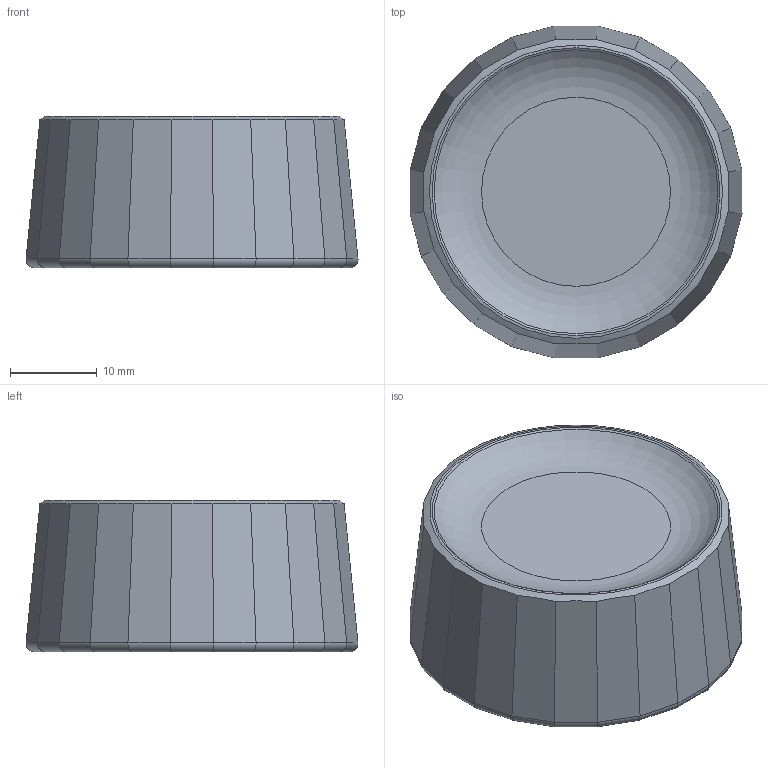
import cadquery as cq
import math

SIDES = 24
HEIGHT = 17.5
BASE_WIDTH = 38.5
TOP_WIDTH = 35.0
BASE_FILLET = 1.0

CREST_RADIUS = 16.6
LAND_RADIUS = 16.9
LAND_ANGLE = 5.0
BEVEL_ANGLE = 28.0

DISH_RADIUS = 16.37
LIP_ANGLE = 32.0
FLOOR_RADIUS = 10.9
DISH_DEPTH = 2.25


def flat_sided_polygon(plane, width):
    """Regular polygon of the given width across flats, one flat facing each axis."""
    half_step = math.pi / SIDES
    corner_radius = width / 2 / math.cos(half_step)
    angles = [half_step * (2 * i + 1) for i in range(SIDES)]
    points = [(corner_radius * math.cos(a), corner_radius * math.sin(a)) for a in angles]
    return plane.polyline(points).close()


def tapered_body():
    """Faceted knob body, rounded around its bottom edge."""
    base = flat_sided_polygon(cq.Workplane("XY"), BASE_WIDTH)
    body = flat_sided_polygon(base.workplane(offset=HEIGHT), TOP_WIDTH).loft(ruled=True)
    return body.faces("<Z").edges().fillet(BASE_FILLET)


def fall(run, angle):
    """Height lost over a horizontal run at an angle given in degrees."""
    return run * math.tan(math.radians(angle))


def revolved(section):
    """Full turn of a section in the XZ plane about the Z axis."""
    return section.revolve(360, (0, 0, 0), (0, 1, 0))


def rim_cutter():
    """Ring above the land and the bevel that slope down and outward from the crest."""
    reach = BASE_WIDTH / 2
    land_z = HEIGHT - fall(LAND_RADIUS - CREST_RADIUS, LAND_ANGLE)
    reach_z = land_z - fall(reach - LAND_RADIUS, BEVEL_ANGLE)
    section = (
        cq.Workplane("XZ")
        .moveTo(CREST_RADIUS, HEIGHT)
        .lineTo(LAND_RADIUS, land_z)
        .lineTo(reach, reach_z)
        .lineTo(reach, HEIGHT)
        .close()
    )
    return revolved(section)


def dish_cutter():
    """Flat-floored hollow whose wall curves up tangent to the floor, then a small lip."""
    floor_z = HEIGHT - DISH_DEPTH
    lip_z = HEIGHT - fall(CREST_RADIUS - DISH_RADIUS, LIP_ANGLE)
    section = (
        cq.Workplane("XZ")
        .moveTo(0, floor_z)
        .lineTo(FLOOR_RADIUS, floor_z)
        .tangentArcPoint((DISH_RADIUS, lip_z), relative=False)
        .lineTo(CREST_RADIUS, HEIGHT)
        .lineTo(0, HEIGHT)
        .close()
    )
    return revolved(section)


result = tapered_body().cut(rim_cutter()).cut(dish_cutter())